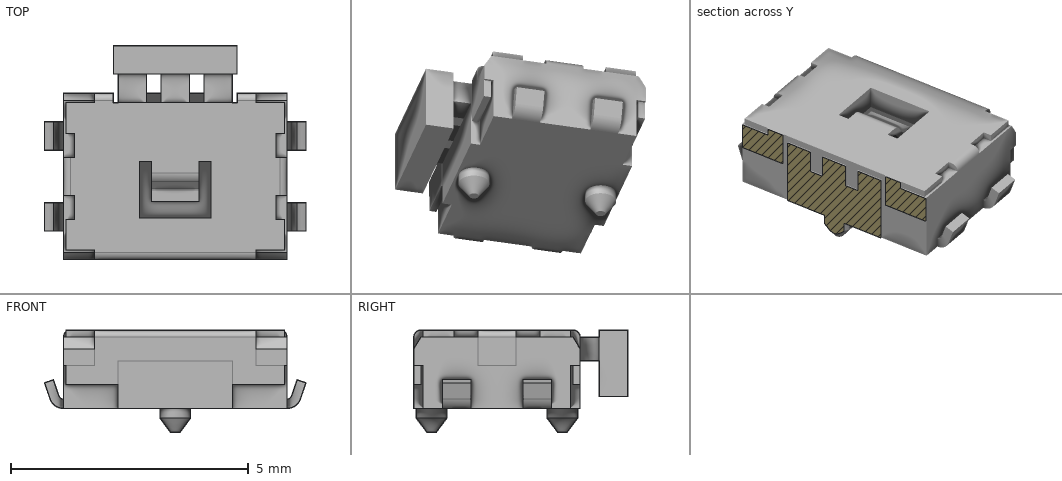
import cadquery as cq
import math

BODY_LENGTH = 4.7
BODY_WIDTH = 3.5
BASE_TOP = 1.5
WALL_RECESS = 0.2
PANEL_LENGTH = 2.4
PANEL_TOP = 1.0
CORNER_BOTTOM = 0.9
CORNER_CHAMFER_HEIGHT = 0.25

SHEET = 0.15
COVER_BEND_RADIUS = 0.1499
COVER_TOP = BASE_TOP + SHEET
COVER_LENGTH = 4.6
APRON_LENGTH = 3.4
APRON_BOTTOM = 0.5
BACK_OPENING = 2.6
SIDE_TAB_WIDTH = 0.8
NOTCH_END_Y = 0.9
NOTCH_SPACING = 4.24

WINDOW_LENGTH = 1.5
WINDOW_BACK_Y = 0.315
WINDOW_FRONT_Y = -0.875
POCKET_DEPTH = 0.5
TONGUE_WIDTH = 1.0
TONGUE_BEND_Y = 0.07
TONGUE_BEND_RADIUS = 0.22
TONGUE_ANGLE = math.radians(53)
FOOT_TOP = 1.35
FOOT_BEND_RADIUS = 0.04
FOOT_FRONT_Y = -0.525

ARM_WIDTH = 0.6
ARM_PITCH = 0.9
ARM_BOTTOM = 1.0
KNOB_LENGTH = 2.6
KNOB_BACK_Y = 2.75
KNOB_DEPTH = 0.6
KNOB_BOTTOM = 0.25

TERMINAL_SPAN = 5.5
TERMINAL_WIDTH = 0.6
TERMINAL_Y = 0.85
TERMINAL_THICKNESS = 0.2
TERMINAL_BEND_RADIUS = 0.3
TERMINAL_BEND = math.radians(71)
TERMINAL_ROOT = 0.3

PEG_DIAMETER = 0.65
PEG_TIP_DIAMETER = 0.2
PEG_Y = 1.375
PEG_STRAIGHT = 0.2
PEG_LENGTH = 0.5

HALF_LENGTH = BODY_LENGTH / 2
HALF_WIDTH = BODY_WIDTH / 2
RECESSED_Y = HALF_WIDTH - WALL_RECESS
APRON_INNER_Y = HALF_WIDTH - SHEET
SIDES = (-1, 1)


def block(x0, x1, y0, y1, z0, z1):
    """Axis-aligned box between two opposite corners."""
    return cq.Workplane("XY").box(x1 - x0, y1 - y0, z1 - z0, centered=False).translate((x0, y0, z0))


def wide_block(length, y0, y1, z0, z1):
    """Box centred on X = 0."""
    return block(-length / 2, length / 2, y0, y1, z0, z1)


def add(body, *others):
    """Join solids, keeping the seams between flush faces."""
    for other in others:
        body = body.union(other, clean=False)
    return body


def facing_back(front_solid):
    return front_solid.mirror("XZ")


def make_base():
    base = wide_block(BODY_LENGTH, -RECESSED_Y, RECESSED_Y, 0, BASE_TOP)

    backing = wide_block(APRON_LENGTH, -APRON_INNER_Y, -RECESSED_Y, CORNER_BOTTOM, BASE_TOP)
    opening = wide_block(BACK_OPENING, RECESSED_Y, APRON_INNER_Y, CORNER_BOTTOM, BASE_TOP)
    base = base.union(backing).union(facing_back(backing).cut(opening))

    corner = (
        cq.Workplane("YZ", origin=(APRON_LENGTH / 2, 0, 0))
        .moveTo(-RECESSED_Y, CORNER_BOTTOM)
        .lineTo(-HALF_WIDTH, CORNER_BOTTOM)
        .lineTo(-HALF_WIDTH, BASE_TOP - CORNER_CHAMFER_HEIGHT)
        .lineTo(-APRON_INNER_Y, BASE_TOP)
        .lineTo(-RECESSED_Y, BASE_TOP)
        .close()
        .extrude(HALF_LENGTH - APRON_LENGTH / 2)
    )
    corners = corner.union(corner.mirror("YZ"))
    base = base.union(corners).union(facing_back(corners))

    for x0 in (-HALF_LENGTH, HALF_LENGTH - SHEET):
        base = base.cut(
            block(x0, x0 + SHEET, -SIDE_TAB_WIDTH / 2, SIDE_TAB_WIDTH / 2, CORNER_BOTTOM, BASE_TOP)
        )
    base = base.cut(
        wide_block(WINDOW_LENGTH, WINDOW_FRONT_Y, WINDOW_BACK_Y, COVER_TOP - POCKET_DEPTH, BASE_TOP)
    )

    panel = wide_block(PANEL_LENGTH, -HALF_WIDTH, -RECESSED_Y, 0, PANEL_TOP)
    return base.clean(), panel.union(facing_back(panel))


def make_apron():
    """Front wall of the cover, with an ear at each lower end."""
    apron = wide_block(APRON_LENGTH, -HALF_WIDTH, -APRON_INNER_Y, APRON_BOTTOM, COVER_TOP)
    apron = apron.union(wide_block(APRON_LENGTH, -APRON_INNER_Y, -RECESSED_Y, BASE_TOP, COVER_TOP))
    apron = apron.edges("|X and >Z and <Y").fillet(COVER_BEND_RADIUS)
    ears = wide_block(COVER_LENGTH, -HALF_WIDTH, -APRON_INNER_Y, APRON_BOTTOM, CORNER_BOTTOM)
    panel_cutout = wide_block(PANEL_LENGTH, -HALF_WIDTH, -APRON_INNER_Y, 0, PANEL_TOP)
    return apron.union(ears).cut(panel_cutout)


def make_tongue():
    """Strip bending down from the cover plate to a flat foot."""
    corner_y = TONGUE_BEND_Y - TONGUE_BEND_RADIUS * math.tan(TONGUE_ANGLE / 2)
    under_corner_y = corner_y + SHEET * math.tan(TONGUE_ANGLE / 2)
    slope_run = (COVER_TOP - FOOT_TOP) / math.tan(TONGUE_ANGLE)
    foot_bottom = FOOT_TOP - SHEET

    top_corner = (corner_y, COVER_TOP)
    under_corner = (under_corner_y, BASE_TOP)
    foot_corner = (corner_y - slope_run, FOOT_TOP)
    outline = [
        (WINDOW_BACK_Y, COVER_TOP),
        top_corner,
        foot_corner,
        (FOOT_FRONT_Y, FOOT_TOP),
        (FOOT_FRONT_Y, foot_bottom),
        (under_corner_y - slope_run, foot_bottom),
        under_corner,
        (WINDOW_BACK_Y, BASE_TOP),
    ]
    tongue = (
        cq.Workplane("YZ", origin=(-TONGUE_WIDTH / 2, 0, 0)).polyline(outline).close().extrude(TONGUE_WIDTH)
    )
    bends = [
        (top_corner, TONGUE_BEND_RADIUS),
        (under_corner, TONGUE_BEND_RADIUS),
        (foot_corner, FOOT_BEND_RADIUS),
    ]
    for corner, radius in bends:
        tongue = tongue.edges(cq.NearestToPointSelector((0, *corner))).fillet(radius)
    return tongue


def make_cover():
    cover = wide_block(COVER_LENGTH, -RECESSED_Y, RECESSED_Y, BASE_TOP, COVER_TOP)

    notch_depth = (BODY_LENGTH - NOTCH_SPACING) / 2
    for x0 in (-HALF_LENGTH, NOTCH_SPACING / 2):
        cover = cover.cut(block(x0, x0 + notch_depth, -NOTCH_END_Y, NOTCH_END_Y, BASE_TOP, COVER_TOP))

    tabs = block(
        -HALF_LENGTH, HALF_LENGTH, -SIDE_TAB_WIDTH / 2, SIDE_TAB_WIDTH / 2, CORNER_BOTTOM, COVER_TOP
    )
    tabs = tabs.edges("|Y and >Z").fillet(COVER_BEND_RADIUS)
    tabs = tabs.cut(
        wide_block(BODY_LENGTH - 2 * SHEET, -HALF_WIDTH, HALF_WIDTH, CORNER_BOTTOM, BASE_TOP)
    )

    front_apron = make_apron()
    opening = wide_block(BACK_OPENING, RECESSED_Y, HALF_WIDTH, 0, COVER_TOP)
    back_apron = facing_back(front_apron).cut(opening)
    cover = cover.union(tabs).union(front_apron).union(back_apron)

    window = wide_block(WINDOW_LENGTH, WINDOW_FRONT_Y, WINDOW_BACK_Y, BASE_TOP, COVER_TOP)
    return cover.cut(window).union(make_tongue()).clean()


def make_plunger():
    knob_front = KNOB_BACK_Y - KNOB_DEPTH
    plunger = wide_block(KNOB_LENGTH, knob_front, KNOB_BACK_Y, KNOB_BOTTOM, COVER_TOP)
    for step in (-1, 0, 1):
        arm = wide_block(ARM_WIDTH, RECESSED_Y, knob_front, ARM_BOTTOM, BASE_TOP)
        plunger = plunger.union(arm.translate((step * ARM_PITCH, 0, 0)))
    return plunger


def make_terminal():
    """Right-hand terminal at Y = 0: a flat root bent up and outward."""
    inner_radius = TERMINAL_BEND_RADIUS - TERMINAL_THICKNESS
    tip_x = TERMINAL_SPAN / 2

    def bend_point(radius, angle):
        return (
            HALF_LENGTH + radius * math.sin(angle),
            TERMINAL_BEND_RADIUS - radius * math.cos(angle),
        )

    outer_end = bend_point(TERMINAL_BEND_RADIUS, TERMINAL_BEND)
    inner_end = bend_point(inner_radius, TERMINAL_BEND)
    rise_x = tip_x - outer_end[0]
    rise_z = rise_x * math.tan(TERMINAL_BEND)
    return (
        cq.Workplane("XZ", origin=(0, TERMINAL_WIDTH / 2, 0))
        .moveTo(HALF_LENGTH - TERMINAL_ROOT, 0)
        .lineTo(HALF_LENGTH, 0)
        .threePointArc(bend_point(TERMINAL_BEND_RADIUS, TERMINAL_BEND / 2), outer_end)
        .lineTo(tip_x, outer_end[1] + rise_z)
        .lineTo(inner_end[0] + rise_x, inner_end[1] + rise_z)
        .lineTo(*inner_end)
        .threePointArc(bend_point(inner_radius, TERMINAL_BEND / 2), (HALF_LENGTH, TERMINAL_THICKNESS))
        .lineTo(HALF_LENGTH - TERMINAL_ROOT, TERMINAL_THICKNESS)
        .close()
        .extrude(TERMINAL_WIDTH)
    )


def make_peg():
    """Peg below the base at Y = 0, tapering to a flat tip."""
    return (
        cq.Workplane("XZ")
        .lineTo(PEG_DIAMETER / 2, 0)
        .lineTo(PEG_DIAMETER / 2, -PEG_STRAIGHT)
        .lineTo(PEG_TIP_DIAMETER / 2, -PEG_LENGTH)
        .lineTo(0, -PEG_LENGTH)
        .close()
        .revolve(360, (0, 0, 0), (0, 1, 0))
    )


base, panels = make_base()
result = add(base, panels, make_cover(), make_plunger())

terminal = make_terminal()
peg = make_peg()
for side in SIDES:
    right_terminal = terminal.translate((0, side * TERMINAL_Y, 0))
    result = add(result, right_terminal, right_terminal.mirror("YZ"))
    result = add(result, peg.translate((0, side * PEG_Y, 0)))